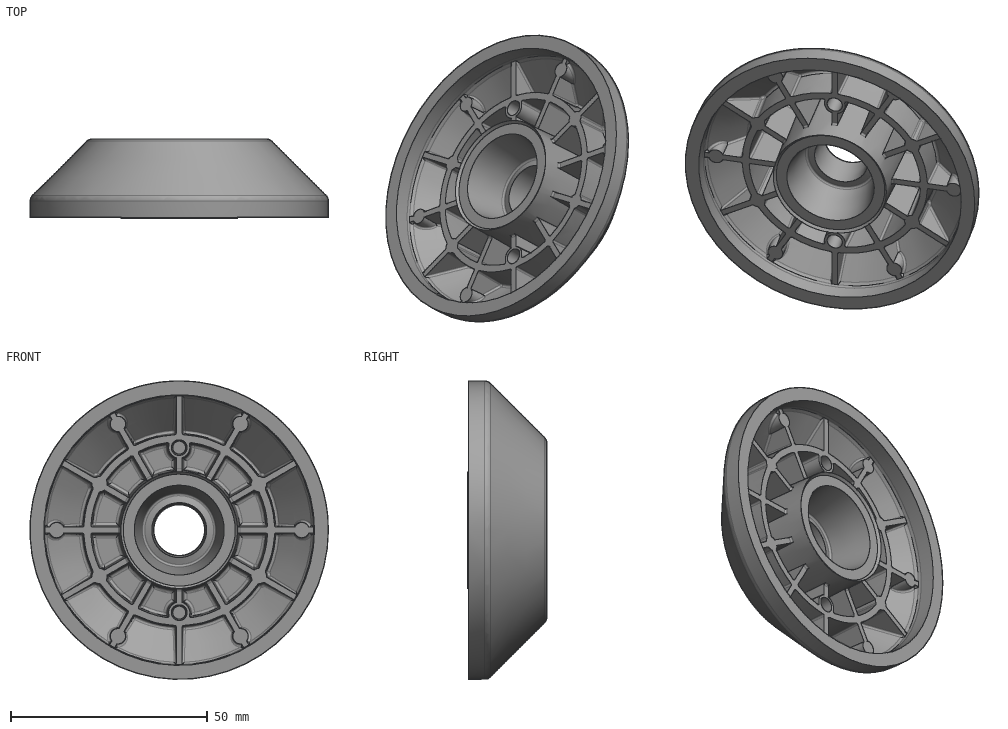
import cadquery as cq
import math

RIM_RADIUS = 38.0
BACK_Y = 20.0
RIM_EDGE_Y = 5.0
OUTER_EDGE_FILLET = 2.0
BACK_RADIUS = RIM_RADIUS - (BACK_Y - RIM_EDGE_Y)

RIM_INNER_RADIUS = 34.45
RIM_DRAFT = 0.02
RIB_Y = 5.0
CUT_START_Y = RIB_Y - 1.0
DRAFT = math.tan(math.radians(2.0))

HUB_LIP_Y = -0.2
HUB_LIP_RADIUS = 14.85
HUB_FACE_Y = 0.5
HUB_FACE_RADIUS = 14.25
HUB_RIB_FILLET = 0.5

BORE_MOUTH_RADIUS = 11.45
BORE_END_RADIUS = 9.3
BORE_END_Y = 12.4
BORE_FILLET = 0.5
SEAT_RADIUS = 7.0
SEAT_Y = 11.7
HOLE_RADIUS = 6.45

WALL_THICKNESS = 2.5
FLOOR_Y = BACK_Y - WALL_THICKNESS
INNER_CONE_SUM = RIM_RADIUS + RIM_EDGE_Y - WALL_THICKNESS * math.sqrt(2)
RING_INNER_RADIUS = 22.5
RING_OUTER_RADIUS = 24.3
RING_NEAR_RADIUS = 21.5
RING_FAR_RADIUS = 25.5
CORNER_FILLET = 0.5
FLOOR_FILLET = 0.8
RIM_FOOT_FILLET = 2.4

RIB_COUNT = 12
RIB_WIDTH = 1.5
BOSS_COUNT = 6
BOSS_RADIUS = 1.95
BOSS_CIRCLE_RADIUS = 31.2
SOCKET_CIRCLE_RADIUS = 21.0
SOCKET_BOSS_RADIUS = 2.7
SOCKET_MOUTH_RADIUS = 2.0
SOCKET_END_RADIUS = 1.65
SOCKET_DEPTH = 8.0
NODE_CIRCLE_RADIUS = (RING_INNER_RADIUS + RING_OUTER_RADIUS) / 2
NODE_ANGLES = (30, 150, 210, 330)
SOCKET_ANGLES = (90, 270)

TOLERANCE = 0.001


def hub_radius(y):
    return HUB_LIP_RADIUS + (y - HUB_LIP_Y) * DRAFT


def rim_inner_radius(y):
    return RIM_INNER_RADIUS - y * RIM_DRAFT


def revolve(points):
    """Solid of revolution about Y from (radius, y) points."""
    return cq.Workplane("XY").polyline(points).close().revolve(360, (0, 0, 0), (0, 1, 0))


def circles_at(shape, radius, y):
    """Full-circle edges of the given radius lying at height y."""
    edges = [
        edge
        for edge in shape.edges("%CIRCLE").vals()
        if abs(edge.radius() - radius) < TOLERANCE and abs(edge.Center().y - y) < TOLERANCE
    ]
    return shape.newObject(edges)


def make_inner_envelope():
    """Space enclosed by the rim inner wall and the inner cone, with the rounded edge between them."""
    foot_y = (INNER_CONE_SUM - RIM_INNER_RADIUS) / (1 - RIM_DRAFT)
    foot_radius = rim_inner_radius(foot_y)
    envelope = revolve([
        (0, 0),
        (0, BACK_Y),
        (INNER_CONE_SUM - BACK_Y, BACK_Y),
        (foot_radius, foot_y),
        (RIM_INNER_RADIUS, 0),
    ])
    return circles_at(envelope, foot_radius, foot_y).fillet(RIM_FOOT_FILLET)


def make_body():
    body = revolve([
        (HOLE_RADIUS, BACK_Y),
        (SEAT_RADIUS, SEAT_Y),
        (BORE_END_RADIUS, BORE_END_Y),
        (BORE_MOUTH_RADIUS, HUB_FACE_Y),
        (HUB_FACE_RADIUS, HUB_FACE_Y),
        (HUB_LIP_RADIUS, HUB_LIP_Y),
        (hub_radius(0), 0),
        (RIM_RADIUS, 0),
        (RIM_RADIUS, RIM_EDGE_Y),
        (BACK_RADIUS, BACK_Y),
    ])
    recess = revolve([
        (hub_radius(0), 0),
        (hub_radius(RIB_Y), RIB_Y),
        (RIM_RADIUS, RIB_Y),
        (RIM_RADIUS, 0),
    ])
    body = body.cut(recess.intersect(make_inner_envelope()))
    body = circles_at(body, RIM_RADIUS, RIM_EDGE_Y).fillet(OUTER_EDGE_FILLET)
    body = circles_at(body, BACK_RADIUS, BACK_Y).fillet(OUTER_EDGE_FILLET)
    body = circles_at(body, BORE_END_RADIUS, BORE_END_Y).fillet(BORE_FILLET)
    return circles_at(body, hub_radius(RIB_Y), RIB_Y).fillet(HUB_RIB_FILLET)


def make_ribs():
    """Drafted bars from the axis outward, thicker toward the back."""
    front = RIB_WIDTH / 2 - (RIB_Y - CUT_START_Y) * DRAFT
    back = RIB_WIDTH / 2 + (BACK_Y - RIB_Y) * DRAFT
    bar = (
        cq.Workplane("YZ")
        .polyline([(CUT_START_Y, -front), (BACK_Y, -back), (BACK_Y, back), (CUT_START_Y, front)])
        .close()
        .extrude(RIM_RADIUS)
    )
    step = 360 / RIB_COUNT
    return [bar.rotate((0, 0, 0), (0, 1, 0), i * step) for i in range(RIB_COUNT)]


def make_boss(radius, circle_radius, angle):
    """Drafted round post centred on circle_radius at the given angle."""
    front = radius - (RIB_Y - CUT_START_Y) * DRAFT
    back = radius + (BACK_Y - RIB_Y) * DRAFT
    post = cq.Solid.makeCone(
        front, back, BACK_Y - CUT_START_Y, cq.Vector(circle_radius, CUT_START_Y, 0), cq.Vector(0, 1, 0)
    )
    return cq.Workplane(post).rotate((0, 0, 0), (0, 1, 0), angle)


def bottom_edges(pocket):
    """Edges of a pocket that lie in the flat floor or in the inner conical wall."""
    def on_bottom(point):
        on_floor = point.y > FLOOR_Y - TOLERANCE
        return on_floor or math.hypot(point.x, point.z) + point.y > INNER_CONE_SUM - TOLERANCE

    return [
        edge
        for edge in pocket.Edges()
        if all(on_bottom(edge.positionAt(t)) for t in (0, 0.5, 1))
        and edge.BoundingBox().ymax > RIB_Y + TOLERANCE
    ]


def ring_corners(pocket):
    """Edges running from front to back where the ribs and bosses meet the ring."""
    def near_ring(edge):
        return RING_NEAR_RADIUS < math.hypot(edge.Center().x, edge.Center().z) < RING_FAR_RADIUS

    def runs_to_front(edge):
        box = edge.BoundingBox()
        return box.ymin < RIB_Y + TOLERANCE and box.ylen > TOLERANCE

    return [edge for edge in pocket.Edges() if near_ring(edge) and runs_to_front(edge)]


def make_inner_pockets():
    """Flat-bottomed pockets between the hub and the ring."""
    def ring_radius(y):
        return RING_INNER_RADIUS - (y - RIB_Y) * DRAFT

    pockets = revolve([
        (hub_radius(CUT_START_Y), CUT_START_Y),
        (hub_radius(FLOOR_Y), FLOOR_Y),
        (ring_radius(FLOOR_Y), FLOOR_Y),
        (ring_radius(CUT_START_Y), CUT_START_Y),
    ])
    for bar in RIBS + NODES:
        pockets = pockets.cut(bar)
    for angle in SOCKET_ANGLES:
        pockets = pockets.cut(make_boss(SOCKET_BOSS_RADIUS, SOCKET_CIRCLE_RADIUS, angle))
    rounded = []
    for pocket in pockets.solids().vals():
        pocket = pocket.fillet(CORNER_FILLET, ring_corners(pocket))
        rounded.append(pocket.fillet(FLOOR_FILLET, bottom_edges(pocket)))
    return rounded


def make_outer_pockets():
    """Pockets outside the ring, bottomed by the conical wall and closed by the rim."""
    ring_foot = (RING_OUTER_RADIUS + (INNER_CONE_SUM - RIB_Y) * DRAFT) / (1 + DRAFT)
    pockets = revolve([
        (RING_OUTER_RADIUS, RIB_Y),
        (ring_foot, INNER_CONE_SUM - ring_foot),
        (INNER_CONE_SUM - RIB_Y, RIB_Y),
    ])
    for bar in RIBS + NODES:
        pockets = pockets.cut(bar)
    for i in range(BOSS_COUNT):
        pockets = pockets.cut(make_boss(BOSS_RADIUS, BOSS_CIRCLE_RADIUS, i * 360 / BOSS_COUNT))
    envelope = make_inner_envelope().val()
    rounded = []
    for pocket in pockets.solids().vals():
        pocket = pocket.fillet(CORNER_FILLET, ring_corners(pocket) + bottom_edges(pocket))
        rounded.append(pocket.intersect(envelope))
    return rounded


def make_socket(angle):
    """Tapered blind hole in the boss at the given angle."""
    cone = cq.Solid.makeCone(
        SOCKET_MOUTH_RADIUS,
        SOCKET_END_RADIUS,
        SOCKET_DEPTH,
        cq.Vector(SOCKET_CIRCLE_RADIUS, RIB_Y, 0),
        cq.Vector(0, 1, 0),
    )
    return cq.Workplane(cone).rotate((0, 0, 0), (0, 1, 0), angle)


RIBS = make_ribs()
NODES = [make_boss(BOSS_RADIUS, NODE_CIRCLE_RADIUS, angle) for angle in NODE_ANGLES]

result = make_body()
for pocket in make_inner_pockets() + make_outer_pockets():
    result = result.cut(cq.Workplane(pocket))
for angle in SOCKET_ANGLES:
    result = result.cut(make_socket(angle))